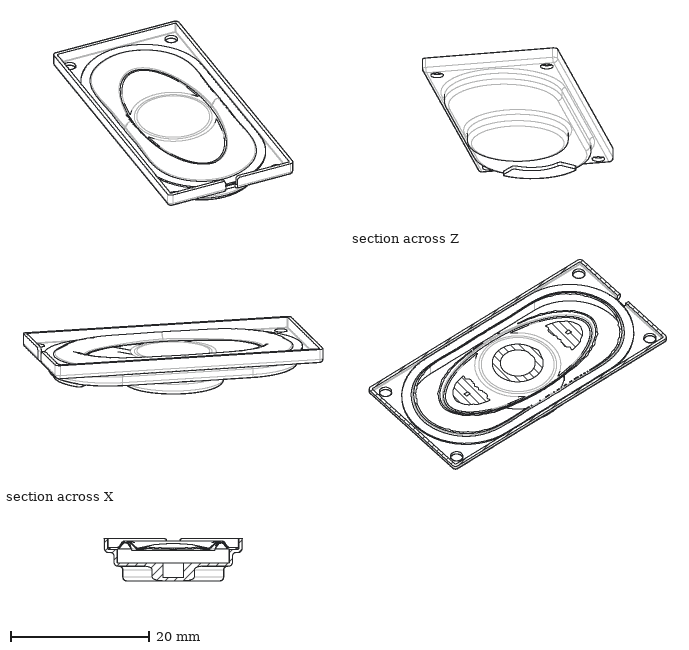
import cadquery as cq
import math


LENGTH = 40.0
WIDTH = 20.0
HEIGHT = 6.2
SHEET = 0.5
BEND = 0.6
COVE = 0.5
RIM_DEPTH = 2.1
BASKET_DEPTH = 2.0
BASKET_CENTRE = 9.75
BASKET_RADIUS = 8.6
POT_RADIUS = 7.3
NOTCH_WIDTH = 1.85
NOTCH_DEPTH = 0.8
NOTCH_ROUND = 0.5
HOLE_DIAMETER = 1.8
HOLE_X = 18.1
HOLE_Y = 8.1

SELECT_MARGIN = 0.05

RIM_Z = HEIGHT - RIM_DEPTH
BASKET_Z = RIM_Z - BASKET_DEPTH
FLOOR_Z = RIM_Z + SHEET

FILM = 0.25
FLANGE_RADIUS = 9.3
ROLL_RADIUS = 8.0
ROLL_HEIGHT = 0.95
ROLL_FOOT = 0.3
ROLL_STEPS = 10
CONE_A = 12.95
CONE_B = 5.85
CONE_DROP = 0.2
LOBE_GAP = 0.2
LOBE_SLOPE = 0.1
LOBE_STEPS = 6
LOBE_END = 60.0
COIL_RADIUS = 6.25
DOME_RADIUS = 5.65
DOME_FOOT = 0.35
DOME_HEIGHT = 0.8
OVERLAP = 0.2
SINK = 0.01

FILM_TOP = FLOOR_Z + FILM
CONE_TOP = FILM_TOP - CONE_DROP

TERMINAL_THICKNESS = 0.5
TERMINAL_OUTER = 7.9
TERMINAL_INNER = 4.8
TERMINAL_ANGLE = 45.0
TERMINAL_ROUND = 0.5


def stadium(radius, bottom, height):
    """Oval block with end arcs on the basket's end centres."""
    slot = cq.Workplane("XY").workplane(offset=bottom).slot2D(2 * (BASKET_CENTRE + radius), 2 * radius)
    return slot.extrude(height)


def edges_inside(low, high):
    """Selector of the edges that lie wholly within a box."""
    low = [value - SELECT_MARGIN for value in low]
    high = [value + SELECT_MARGIN for value in high]
    return cq.selectors.BoxSelector(low, high, boundingbox=True)


def make_frame():
    """Stepped tray: rectangular rim, oval basket, round pot, all of one sheet thickness."""
    rim = cq.Workplane("XY").workplane(offset=RIM_Z).rect(LENGTH, WIDTH).extrude(RIM_DEPTH)
    rim = rim.edges("|Z").fillet(BEND).faces("<Z").edges().fillet(BEND)
    basket = stadium(BASKET_RADIUS, BASKET_Z, BASKET_DEPTH).faces("<Z").edges().fillet(BEND)
    pot = cq.Workplane("XY").circle(POT_RADIUS).extrude(BASKET_Z).faces("<Z").edges().fillet(BEND)
    body = rim.union(basket).union(pot)
    reach_x = BASKET_CENTRE + BASKET_RADIUS
    for step_z in (RIM_Z, BASKET_Z):
        step = edges_inside((-reach_x, -BASKET_RADIUS, step_z), (reach_x, BASKET_RADIUS, step_z))
        body = body.edges(step).fillet(COVE)

    inner_bend = BEND - SHEET
    tray = cq.Workplane("XY").workplane(offset=FLOOR_Z)
    tray = tray.rect(LENGTH - 2 * SHEET, WIDTH - 2 * SHEET).extrude(RIM_DEPTH)
    tray = tray.edges("|Z").fillet(inner_bend).faces("<Z").edges().fillet(inner_bend)
    basket_room = stadium(BASKET_RADIUS - SHEET, BASKET_Z + SHEET, BASKET_DEPTH)
    pot_room = cq.Workplane("XY").workplane(offset=SHEET).circle(POT_RADIUS - SHEET).extrude(BASKET_Z)
    body = body.cut(tray).cut(basket_room).cut(pot_room)

    holes = cq.Workplane("XY").rect(2 * HOLE_X, 2 * HOLE_Y, forConstruction=True).vertices()
    body = body.cut(holes.circle(HOLE_DIAMETER / 2).extrude(HEIGHT))

    notch_x = LENGTH / 2 - NOTCH_DEPTH
    notch = cq.Workplane("XY").box(LENGTH, NOTCH_WIDTH, HEIGHT, centered=(False, True, False))
    body = body.cut(notch.translate((notch_x, 0, 0)))
    notch_top = edges_inside((notch_x, -NOTCH_WIDTH / 2, HEIGHT), (LENGTH / 2, NOTCH_WIDTH / 2, HEIGHT))
    return body.edges(notch_top).fillet(NOTCH_ROUND)


def ellipse_reach(a, b, angle):
    """Distance from the origin to an ellipse along a ray."""
    return a * b / math.hypot(b * math.cos(angle), a * math.sin(angle))


def roll_reach(angle):
    """Distance from the origin to the roll's outer oval along a ray."""
    sine = abs(math.sin(angle))
    if BASKET_CENTRE * sine <= ROLL_RADIUS * math.cos(angle):
        return BASKET_CENTRE * math.cos(angle) + math.sqrt(ROLL_RADIUS**2 - (BASKET_CENTRE * sine) ** 2)
    return ROLL_RADIUS / sine


def ray_plane(angle, height):
    """Upright plane through the Z axis: local X along the ray, local Y up from `height`."""
    along = (math.cos(angle), math.sin(angle), 0)
    normal = (math.sin(angle), -math.cos(angle), 0)
    return cq.Plane((0, 0, height), along, normal)


def roll_section(angle):
    """Bump from the cone's ellipse over to the outer oval: foot, crest and foot, tangent where they meet.

    Each stretch is a parabola that smooths one corner of the line start, knee, apex, knee, end.
    """
    inner = ellipse_reach(CONE_A, CONE_B, angle)
    outer = roll_reach(angle)
    middle = (inner + outer) / 2
    knee = ROLL_FOOT / 2
    share = knee / (middle - inner - knee)
    inner_z = -CONE_DROP - SINK
    outer_z = -SINK
    apex_z = (2 * ROLL_HEIGHT - (1 - share) * (inner_z + outer_z) / 2) / (1 + share)
    inner_joint = (inner + ROLL_FOOT, inner_z + share * (apex_z - inner_z))
    outer_joint = (outer - ROLL_FOOT, outer_z + share * (apex_z - outer_z))

    profile = cq.Workplane(ray_plane(angle, FILM_TOP)).moveTo(inner, -CONE_DROP - FILM).lineTo(inner, inner_z)
    profile = profile.bezier([(inner, inner_z), (inner + knee, inner_z), inner_joint])
    profile = profile.bezier([inner_joint, (middle, apex_z), outer_joint])
    profile = profile.bezier([outer_joint, (outer - knee, outer_z), (outer, outer_z)])
    return profile.lineTo(outer, -FILM).close().val()


def lobe_section(angle):
    """Parabolic arch from the coil ring to the rim of the cone."""
    inner = COIL_RADIUS
    outer = ellipse_reach(CONE_A - LOBE_GAP, CONE_B - LOBE_GAP, angle)
    width = outer - inner
    apex = (inner + width / 2, 2 * LOBE_SLOPE * width)
    profile = cq.Workplane(ray_plane(angle, CONE_TOP)).moveTo(inner, -FILM).lineTo(inner, 0)
    profile = profile.bezier([(inner, 0), apex, (outer, 0)])
    return profile.lineTo(outer, -FILM).close().val()


def half_ring(section, end_angle, steps):
    """Loft of ray sections swung from -end_angle to +end_angle about the +X axis."""
    angles = [math.radians(end_angle * (2 * i / steps - 1)) for i in range(steps + 1)]
    return cq.Workplane(cq.Solid.makeLoft([section(angle) for angle in angles]))


def make_dome():
    """Round cap: a crest arc over a foot arc, tangent where they meet."""
    shoulder = DOME_RADIUS - DOME_FOOT
    rise = DOME_HEIGHT * DOME_FOOT / DOME_RADIUS
    tilt = math.atan2(DOME_HEIGHT, DOME_RADIUS)

    def arc_middle(start, end, upward):
        """Middle of an arc that turns through twice the tilt, off the middle of its chord."""
        sagitta = math.hypot(end[0] - start[0], end[1] - start[1]) / 2 * math.tan(tilt / 2) * upward
        return ((start[0] + end[0]) / 2 + sagitta * math.sin(tilt),
                (start[1] + end[1]) / 2 + sagitta * math.cos(tilt))

    edge = (DOME_RADIUS, 0)
    joint = (shoulder, rise)
    top = (0, DOME_HEIGHT)
    profile = cq.Workplane(ray_plane(0, CONE_TOP)).moveTo(0, -FILM).lineTo(DOME_RADIUS, -FILM).lineTo(*edge)
    profile = profile.threePointArc(arc_middle(edge, joint, -1), joint)
    profile = profile.threePointArc(arc_middle(joint, top, 1), top).close()
    return profile.revolve(360, (0, 0), (0, 1))


def add_bump(film, bump):
    """Raise a bump on the film and hollow it from below to the film's thickness."""
    return film.union(bump).cut(bump.translate((0, 0, -FILM)))


def make_diaphragm():
    """Flat flange, surround roll, lobed cone and dome, moulded as one film."""
    flange = stadium(FLANGE_RADIUS, FLOOR_Z, FILM).cut(stadium(ROLL_RADIUS - OVERLAP, FLOOR_Z, FILM))
    cone = cq.Workplane("XY").workplane(offset=CONE_TOP - FILM)
    cone = cone.ellipse(CONE_A + OVERLAP, CONE_B + OVERLAP).extrude(FILM)
    plus_x = cq.Workplane("XY").box(LENGTH, WIDTH, 2 * HEIGHT, centered=(False, True, True))
    lobe = half_ring(lobe_section, LOBE_END, LOBE_STEPS)
    roll = half_ring(roll_section, 90, ROLL_STEPS)

    half = add_bump(cone.intersect(plus_x), lobe)
    half = add_bump(half.union(flange.intersect(plus_x)), roll)
    return add_bump(half.union(half.mirror("YZ")), make_dome())


def make_terminal():
    """Sector of a ring under the basket's +X end."""
    def at(radius, degrees):
        angle = math.radians(degrees)
        return (BASKET_CENTRE + radius * math.cos(angle), radius * math.sin(angle))
    plate = cq.Workplane("XY").workplane(offset=BASKET_Z - TERMINAL_THICKNESS)
    plate = plate.moveTo(*at(TERMINAL_INNER, -TERMINAL_ANGLE)).lineTo(*at(TERMINAL_OUTER, -TERMINAL_ANGLE))
    plate = plate.threePointArc(at(TERMINAL_OUTER, 0), at(TERMINAL_OUTER, TERMINAL_ANGLE))
    plate = plate.lineTo(*at(TERMINAL_INNER, TERMINAL_ANGLE))
    plate = plate.threePointArc(at(TERMINAL_INNER, 0), at(TERMINAL_INNER, -TERMINAL_ANGLE)).close()
    return plate.extrude(TERMINAL_THICKNESS).edges("|Z").fillet(TERMINAL_ROUND)


frame = make_frame()
diaphragm = make_diaphragm()
terminal = make_terminal()
result = cq.Compound.makeCompound([body.solids().val() for body in (frame, diaphragm, terminal)])